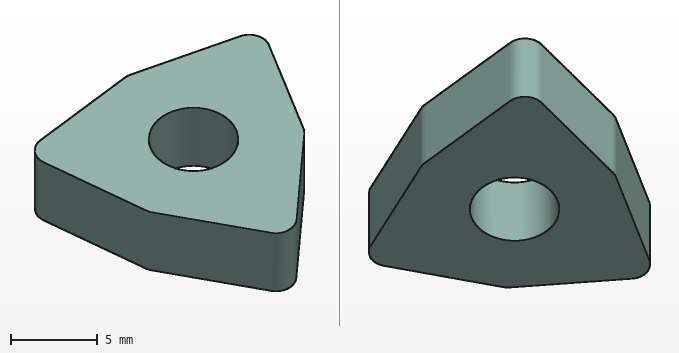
import cadquery as cq
import math

inscribed_radius = 6.35
thickness = 4.75
hole_diameter = 5.16
nose_angle = 80.0
nose_radius = 1.19
side_blend_radius = 1.19
first_nose_direction = -140.0
nose_count = 3

nose_pitch = 360.0 / nose_count
nose_distance = inscribed_radius / math.sin(math.radians(nose_angle / 2))
side_turn = nose_pitch - (180.0 - nose_angle)
side_corner_distance = inscribed_radius / math.cos(math.radians(side_turn / 2))


def polar_point(distance, direction):
    angle = math.radians(direction)
    return distance * math.cos(angle), distance * math.sin(angle)


outline = []
nose_corners = []
side_corners = []
for index in range(nose_count):
    direction = first_nose_direction + index * nose_pitch
    nose_corner = polar_point(nose_distance, direction)
    side_corner = polar_point(side_corner_distance, direction + nose_pitch / 2)
    outline += [nose_corner, side_corner]
    nose_corners.append(nose_corner)
    side_corners.append(side_corner)

body = cq.Workplane("XY").polyline(outline).close().extrude(thickness)


def round_corners(solid, corners, radius):
    """Fillet the vertical edge standing on each given corner."""
    for x, y in corners:
        edge_middle = (x, y, thickness / 2)
        solid = solid.edges(cq.selectors.NearestToPointSelector(edge_middle)).fillet(radius)
    return solid


body = round_corners(body, nose_corners, nose_radius)
body = round_corners(body, side_corners, side_blend_radius)

result = body.faces(">Z").workplane(origin=(0, 0, thickness)).hole(hole_diameter)